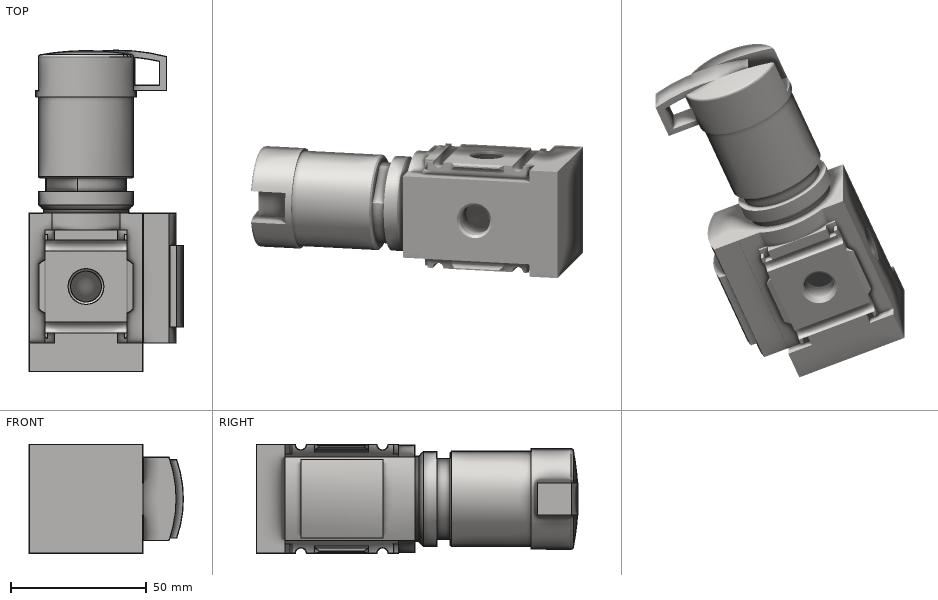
import cadquery as cq
import math


BLOCK_WIDTH = 42.0
BLOCK_HEIGHT = 40.2
BLOCK_TOP_Y = 58.5
FOOT_LENGTH = 10.6
WAIST_HALF_Z = 15.4
NECK_BOSS_DIAMETER = 39.8

PAD_HALF_X = 15.2
PAD_END_Y = 52.3
GROOVE_RADIUS = 2.0
GROOVE_OFFSET = 15.1
CORNER_POCKET_X = 3.6
CORNER_POCKET_Y = 3.8
CORNER_POCKET_DEPTH = 3.6
CORNER_TAB_WIDTH = 1.1
CORNER_TAB_LENGTH = 2.0
LOWER_TAB_CHAMFER = 0.7
TONGUE_REACH = 2.1
TONGUE_ROOT_HALF = 10.0
TONGUE_TIP_HALF = 8.4
TONGUE_TOP_DROP = 0.5
TONGUE_EDGE = 0.5
TONGUE_KNEE_DROP = 2.0
TONGUE_KNEE_REACH = 0.2
TONGUE_ROOT_DROP = 2.7

PORT_Y = 31.5
PORT_DIAMETER = 11.4
PORT_MOUTH_DIAMETER = 13.2
PORT_DEPTH = 11.9

GAUGE_GAP = 0.1
GAUGE_EDGE_X = 30.6
GAUGE_BULGE = 2.6
LENS_HALF_Z = 14.5
LENS_BOTTOM_Y = 16.5
LENS_TOP_Y = 46.6
LENS_EDGE_X = 33.5
OVERALL_WIDTH = 57.0

COLLAR_DIAMETER = 31.6
COLLAR_TOP_Y = 60.0
NUT_DIAMETER = 35.0
NUT_BOTTOM_Y = 61.6
NUT_TOP_Y = 66.6
STEM_DIAMETER = 29.9
STEM_FLAT_DISTANCE = 12.6
KNOB_BOTTOM_Y = 71.5
KNOB_CHAMFER = 0.6
BARREL_DIAMETER = 35.3
CAP_BOTTOM_Y = 101.4
CAP_DIAMETER = 37.2
CAP_ROUND = 1.1
CAP_SHOULDER_Y = 116.1
DOME_EDGE_Y = 117.0
OVERALL_LENGTH = 118.7

SLOT_WIDTH = 11.9
SLOT_FLOOR_Y = 103.7
SLIDE_LEFT_X = -7.1
SLIDE_RIGHT_X = 29.8
SLIDE_CORNER_Y = 116.3
WINDOW_LEFT_X = 18.0
WINDOW_RIGHT_X = 27.1
WINDOW_BOTTOM_Y = 105.8
WINDOW_TOP_LEFT_Y = 116.0
WINDOW_TOP_RIGHT_Y = 114.5
WINDOW_TOP_SAG = 0.1

HALF_WIDTH = BLOCK_WIDTH / 2
HALF_HEIGHT = BLOCK_HEIGHT / 2
GAUGE_BACK_X = HALF_WIDTH + GAUGE_GAP
LENS_APEX_X = OVERALL_WIDTH - HALF_WIDTH


def box(x0, x1, y0, y1, z0, z1):
    return cq.Workplane("XY").box(x1 - x0, y1 - y0, z1 - z0, centered=False).translate((x0, y0, z0))


def cylinder_y(diameter, y0, y1):
    return cq.Workplane("XZ", origin=(0, y0, 0)).circle(diameter / 2).extrude(-(y1 - y0))


def mirrored_pair(shape, plane):
    return shape.union(shape.mirror(plane))


def column():
    """Neck, nut, stem, barrel and domed cap, turned about the Y axis."""
    cap_radius = CAP_DIAMETER / 2
    barrel_radius = BARREL_DIAMETER / 2
    dome_edge = cap_radius - CAP_ROUND
    dome_mid = (dome_edge / 2, OVERALL_LENGTH - (OVERALL_LENGTH - DOME_EDGE_Y) / 4)
    rim_mid = (
        dome_edge + CAP_ROUND * math.sqrt(0.5),
        CAP_SHOULDER_Y + (DOME_EDGE_Y - CAP_SHOULDER_Y) * math.sqrt(0.5),
    )
    turned = (
        cq.Workplane("XY")
        .moveTo(0, BLOCK_TOP_Y)
        .lineTo(COLLAR_DIAMETER / 2, BLOCK_TOP_Y)
        .lineTo(COLLAR_DIAMETER / 2, COLLAR_TOP_Y)
        .lineTo(NUT_DIAMETER / 2, NUT_BOTTOM_Y)
        .lineTo(NUT_DIAMETER / 2, NUT_TOP_Y)
        .lineTo(STEM_DIAMETER / 2, NUT_TOP_Y)
        .lineTo(STEM_DIAMETER / 2, KNOB_BOTTOM_Y)
        .lineTo(barrel_radius - KNOB_CHAMFER, KNOB_BOTTOM_Y)
        .lineTo(barrel_radius, KNOB_BOTTOM_Y + KNOB_CHAMFER)
        .lineTo(barrel_radius, CAP_BOTTOM_Y)
        .lineTo(cap_radius, CAP_BOTTOM_Y)
        .lineTo(cap_radius, CAP_SHOULDER_Y)
        .threePointArc(rim_mid, (dome_edge, DOME_EDGE_Y))
        .threePointArc(dome_mid, (0, OVERALL_LENGTH))
        .close()
        .revolve(360, (0, 0, 0), (0, 1, 0))
    )
    slot = box(-cap_radius, cap_radius, SLOT_FLOOR_Y, OVERALL_LENGTH, -SLOT_WIDTH / 2, SLOT_WIDTH / 2)
    flat = (
        box(-cap_radius, -STEM_FLAT_DISTANCE, NUT_TOP_Y, KNOB_BOTTOM_Y, -cap_radius, cap_radius)
        .rotate((0, 0, 0), (0, 1, 0), 45)
    )
    return turned.cut(slot).cut(flat)


def corner_pocket():
    """L-shaped pocket in one corner of a pad, reaching round a small tab."""
    inner_x = PAD_HALF_X - CORNER_POCKET_X
    inner_y = PAD_END_Y - CORNER_POCKET_Y
    tab_x = PAD_HALF_X - CORNER_TAB_WIDTH
    tab_y = inner_y + CORNER_TAB_LENGTH
    return (
        cq.Workplane("XY", origin=(0, 0, HALF_HEIGHT - CORNER_POCKET_DEPTH))
        .polyline([
            (inner_x, inner_y),
            (tab_x, inner_y),
            (tab_x, tab_y),
            (PAD_HALF_X, tab_y),
            (PAD_HALF_X, PAD_END_Y),
            (inner_x, PAD_END_Y),
        ])
        .close()
        .extrude(CORNER_POCKET_DEPTH)
    )


def tab_chamfer():
    """Wedge that trims the outer corner of a tab, placed at the upper +X corner."""
    tab_y = PAD_END_Y - CORNER_POCKET_Y + CORNER_TAB_LENGTH
    return (
        cq.Workplane("XY", origin=(0, 0, HALF_HEIGHT - CORNER_POCKET_DEPTH))
        .polyline([
            (PAD_HALF_X, tab_y),
            (PAD_HALF_X - LOWER_TAB_CHAMFER, tab_y),
            (PAD_HALF_X, tab_y - LOWER_TAB_CHAMFER),
        ])
        .close()
        .extrude(CORNER_POCKET_DEPTH)
    )


def tongue():
    """Undercut locking tongue on the +X side of the top pad, with slanted ends."""
    tip_x = PAD_HALF_X + TONGUE_REACH
    bar = (
        cq.Workplane("XZ", origin=(0, PORT_Y + TONGUE_ROOT_HALF, 0))
        .polyline([
            (PAD_HALF_X, HALF_HEIGHT),
            (tip_x, HALF_HEIGHT - TONGUE_TOP_DROP),
            (tip_x, HALF_HEIGHT - TONGUE_TOP_DROP - TONGUE_EDGE),
            (PAD_HALF_X + TONGUE_KNEE_REACH, HALF_HEIGHT - TONGUE_KNEE_DROP),
            (PAD_HALF_X, HALF_HEIGHT - TONGUE_ROOT_DROP),
        ])
        .close()
        .extrude(2 * TONGUE_ROOT_HALF)
    )
    outline = (
        cq.Workplane("XY")
        .polyline([
            (PAD_HALF_X, PORT_Y - TONGUE_ROOT_HALF),
            (tip_x, PORT_Y - TONGUE_TIP_HALF),
            (tip_x, PORT_Y + TONGUE_TIP_HALF),
            (PAD_HALF_X, PORT_Y + TONGUE_ROOT_HALF),
        ])
        .close()
        .extrude(HALF_HEIGHT)
    )
    return bar.intersect(outline)


def top_pad():
    pad = box(-PAD_HALF_X, PAD_HALF_X, FOOT_LENGTH, PAD_END_Y, WAIST_HALF_Z, HALF_HEIGHT)
    for side in (-1, 1):
        groove = (
            cq.Workplane("YZ", origin=(-PAD_HALF_X, PORT_Y + side * GROOVE_OFFSET, HALF_HEIGHT))
            .circle(GROOVE_RADIUS)
            .extrude(2 * PAD_HALF_X)
        )
        pad = pad.cut(groove)
    upper_pockets = mirrored_pair(corner_pocket(), "YZ")
    trimmed_pockets = upper_pockets.union(mirrored_pair(tab_chamfer(), "YZ"))
    pad_mid_y = (FOOT_LENGTH + PAD_END_Y) / 2
    lower_pockets = trimmed_pockets.mirror("XZ", (0, pad_mid_y, 0))
    return pad.cut(upper_pockets).cut(lower_pockets).union(mirrored_pair(tongue(), "YZ"))


def port(face_distance):
    """Blind port along +Z with a countersunk mouth at the given distance from the axis."""
    mouth_depth = (PORT_MOUTH_DIAMETER - PORT_DIAMETER) / 2
    bore = (
        cq.Workplane("XY", origin=(0, PORT_Y, face_distance - PORT_DEPTH))
        .circle(PORT_DIAMETER / 2)
        .extrude(PORT_DEPTH)
    )
    mouth = (
        cq.Workplane("XY", origin=(0, PORT_Y, face_distance))
        .circle(PORT_MOUTH_DIAMETER / 2)
        .workplane(offset=-mouth_depth)
        .circle(PORT_DIAMETER / 2)
        .loft()
    )
    return bore.union(mouth)


def valve_block():
    foot = box(-HALF_WIDTH, HALF_WIDTH, 0, FOOT_LENGTH, -HALF_HEIGHT, HALF_HEIGHT)
    waist = box(-HALF_WIDTH, HALF_WIDTH, FOOT_LENGTH, BLOCK_TOP_Y, -WAIST_HALF_Z, WAIST_HALF_Z)
    boss = cylinder_y(NECK_BOSS_DIAMETER, PAD_END_Y, BLOCK_TOP_Y)
    block = foot.union(waist).union(boss).union(mirrored_pair(top_pad(), "XY"))
    top_port = port(HALF_HEIGHT)
    side_port = port(HALF_WIDTH).rotate((0, 0, 0), (0, 1, 0), -90)
    return block.cut(mirrored_pair(top_port, "XY")).cut(side_port)


def bulged_slab(y0, y1, back_x, edge_x, apex_x, half_z):
    """Slab whose +X face bulges out from edge_x at its Z ends to apex_x in the middle."""
    return (
        cq.Workplane("XZ", origin=(0, y1, 0))
        .moveTo(back_x, -half_z)
        .lineTo(edge_x, -half_z)
        .threePointArc((apex_x, 0), (edge_x, half_z))
        .lineTo(back_x, half_z)
        .close()
        .extrude(y1 - y0)
    )


def lock_slide():
    """Slide in the knob slot: arched top and a window in the end that sticks out."""
    slide_mid_x = (SLIDE_LEFT_X + SLIDE_RIGHT_X) / 2
    outline = (
        cq.Workplane("XY", origin=(0, 0, -SLOT_WIDTH / 2))
        .moveTo(SLIDE_LEFT_X, SLOT_FLOOR_Y)
        .lineTo(SLIDE_RIGHT_X, SLOT_FLOOR_Y)
        .lineTo(SLIDE_RIGHT_X, SLIDE_CORNER_Y)
        .threePointArc((slide_mid_x, OVERALL_LENGTH), (SLIDE_LEFT_X, SLIDE_CORNER_Y))
        .close()
        .extrude(SLOT_WIDTH)
    )
    window_mid = (
        (WINDOW_LEFT_X + WINDOW_RIGHT_X) / 2,
        (WINDOW_TOP_LEFT_Y + WINDOW_TOP_RIGHT_Y) / 2 + WINDOW_TOP_SAG,
    )
    window = (
        cq.Workplane("XY", origin=(0, 0, -SLOT_WIDTH / 2))
        .moveTo(WINDOW_LEFT_X, WINDOW_BOTTOM_Y)
        .lineTo(WINDOW_RIGHT_X, WINDOW_BOTTOM_Y)
        .lineTo(WINDOW_RIGHT_X, WINDOW_TOP_RIGHT_Y)
        .threePointArc(window_mid, (WINDOW_LEFT_X, WINDOW_TOP_LEFT_Y))
        .close()
        .extrude(SLOT_WIDTH)
    )
    return outline.cut(window)


def make_regulator():
    return valve_block().union(column()).union(lock_slide())


def make_gauge():
    """Gauge case with a bulged face and a raised lens on it."""
    case = bulged_slab(
        FOOT_LENGTH, BLOCK_TOP_Y, GAUGE_BACK_X, GAUGE_EDGE_X, GAUGE_EDGE_X + GAUGE_BULGE, WAIST_HALF_Z
    )
    lens = bulged_slab(LENS_BOTTOM_Y, LENS_TOP_Y, GAUGE_BACK_X, LENS_EDGE_X, LENS_APEX_X, LENS_HALF_Z)
    return case.union(lens)


regulator = make_regulator()
gauge = make_gauge()

result = cq.Compound.makeCompound([regulator.val(), gauge.val()])